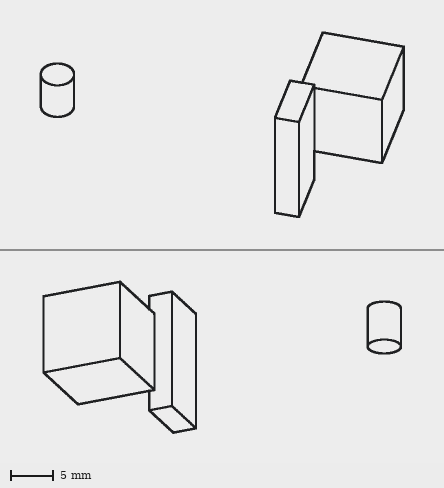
import cadquery as cq

overall_length = 42.0

pin_diameter = 4.0
pin_height = 5.0

cube_side = 10.0

plate_thickness = 3.0
plate_width = 7.0
plate_height = 15.0
plate_gap = 5.0

block_left = overall_length - pin_diameter / 2 - cube_side
plate_front = -plate_gap - plate_width


def make_pin():
    return cq.Workplane("XY").circle(pin_diameter / 2).extrude(pin_height)


def make_cube():
    cube = cq.Workplane("XY").box(cube_side, cube_side, cube_side, centered=False)
    return cube.translate((block_left, 0, 0))


def make_plate():
    plate = cq.Workplane("XY").box(plate_thickness, plate_width, plate_height, centered=False)
    return plate.translate((block_left, plate_front, 0))


pin = make_pin()
cube = make_cube()
plate = make_plate()

result = cq.Compound.makeCompound([pin.val(), cube.val(), plate.val()])